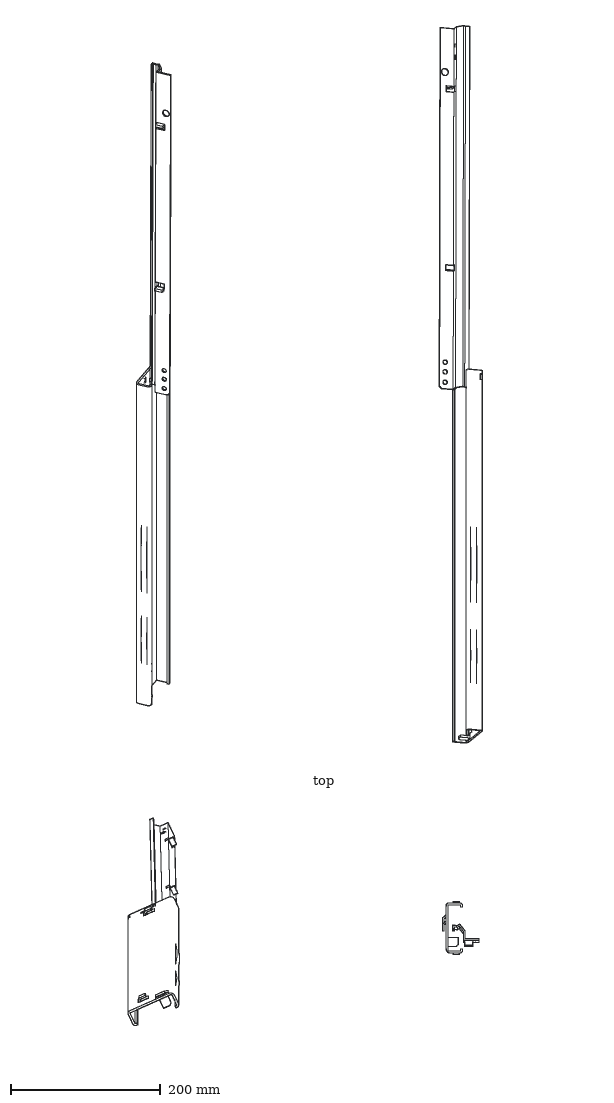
import cadquery as cq
import math

TOTAL_HEIGHT = 985.01

HOUSING_LENGTH = 500.0
PLATE_THICKNESS = 3.0
FLANGE_HALF_SPAN = 33.7
CHANNEL_DEPTH = 22.3
LIP_HALF_GAP = 28.0
LEFT_BEND_RADIUS = 4.0
RIGHT_BEND_RADIUS = 6.0
LIP_BEND_RADIUS = 4.0

PAD_HEIGHT = 1.7
PAD_X_START = 9.5
PAD_X_END = 18.0
LONG_PAD_BOTTOM = 176.5
LONG_PAD_LENGTH = 104.0
LONG_PAD_FLAT_BOTTOM = 211.5
LONG_PAD_FLAT_TOP = 247.5
SHORT_PAD_BOTTOM = 64.5
SHORT_PAD_LENGTH = 74.0
SHORT_PAD_FLAT_BOTTOM = 100.5
SHORT_PAD_FLAT_TOP = 104.5

HOOK_REACH = 5.0
HOOK_THICKNESS = 2.5
HOOK_RAMP_WIDTH = 4.5
HOOK_WINDOW_OVERRUN = 2.5
UPPER_HOOK_Y = 2.5
UPPER_HOOK_WIDTH = 13.0
UPPER_HOOK_Z = 467.5
UPPER_HOOK_HEIGHT = 12.5
LOWER_HOOK_Y = 11.0
LOWER_HOOK_WIDTH = 12.5
LOWER_HOOK_Z = 29.0
LOWER_HOOK_HEIGHT = 11.0

ROUND_HOLE_DIAMETER = 6.0
ROUND_HOLE_Y = 10.5
ROUND_HOLE_Z = 482.0
SMALL_SLOT_WIDTH = 4.0
SMALL_SLOT_HEIGHT = 7.0
SMALL_SLOT_Y = -6.0
SMALL_SLOT_Z = 491.0
BEND_NOTCH_BOTTOM = 487.0
BEND_NOTCH_HEIGHT = 8.0
WINDOW_LEFT = -8.0
WINDOW_RIGHT = -27.0
WINDOW_BOTTOM = 8.5
WINDOW_TOP = 22.5
WINDOW_CORNER_CUT = 6.0

STOP_TAB_REACH = 16.5
STOP_TAB_LEFT = -12.5
STOP_TAB_RIGHT = -25.0
STOP_TAB_CORNER_CUT = 3.0
STOP_TAB_BEND_RADIUS = 4.0

RAIL_LENGTH = 500.0
RAIL_TILT = 0.4
RAIL_THICKNESS = 2.2
RAIL_LEFT_X = 9.0
RAIL_RIGHT_X = 44.43

HEM_END_Y = -0.7
HEM_TOP_Y = 3.0
GROOVE_X = 15.0
GROOVE_Y = 2.0
RIDGE_X = 18.0
RIDGE_Y = 4.0
WEB_X = 24.3
WEB_TOP_Y = -4.0
TAB_Y = -15.0
TAB_CORNER_CUT = 3.0

SMALL_HOLE_X = 36.5
LARGE_HOLE_DIAMETER = 9.5
LARGE_HOLE_X = 37.7
LARGE_HOLE_DROP = 61.0
SMALL_HOLE_DIAMETER = 6.0
SMALL_HOLE_DROPS = (463.0, 476.5, 491.0)

WEB_HOLES = ((24.0, -10.5, 4.0), (41.0, -9.0, 6.0))

TAB_HOOK_X_START = 25.0
TAB_HOOK_X_END = 36.0
TAB_HOOK_REACH = 6.0
TAB_HOOK_HEIGHT = 3.5
TAB_HOOK_WINDOW_HEIGHT = 8.0
TAB_HOOK_WINDOW_RISE = 4.0
TAB_HOOK_UPPER_DROP = 80.0
TAB_HOOK_LOWER_DROP = 336.0


def box(x_range, y_range, z_range):
    """Box between the given limits."""
    low = [min(r) for r in (x_range, y_range, z_range)]
    size = [abs(r[1] - r[0]) for r in (x_range, y_range, z_range)]
    return cq.Workplane("XY").box(*size, centered=False).translate(tuple(low))


def sheet_side(points, offset):
    """Points of an open line moved sideways by the offset, with mitred corners."""
    directions = []
    for (x0, y0), (x1, y1) in zip(points, points[1:]):
        length = math.hypot(x1 - x0, y1 - y0)
        directions.append(((x1 - x0) / length, (y1 - y0) / length))
    before = directions[:1] + directions
    after = directions + directions[-1:]
    side = []
    for (x, y), (ax, ay), (bx, by) in zip(points, before, after):
        mitre = offset / (1 + ax * bx + ay * by)
        side.append((x - (ay + by) * mitre, y + (ax + bx) * mitre))
    return side


def folded_sheet(points, offset_a, offset_b, length):
    """Sheet folded along an open line in XY and extruded along Z."""
    outline = sheet_side(points, offset_a) + sheet_side(points, offset_b)[::-1]
    return cq.Workplane("XY").polyline(outline).close().extrude(length)


def channel():
    """C-section with rounded bends, sharp on the inside."""
    outside = [
        (CHANNEL_DEPTH, -LIP_HALF_GAP),
        (CHANNEL_DEPTH, -FLANGE_HALF_SPAN),
        (0, -FLANGE_HALF_SPAN),
        (0, FLANGE_HALF_SPAN),
        (CHANNEL_DEPTH, FLANGE_HALF_SPAN),
        (CHANNEL_DEPTH, LIP_HALF_GAP),
    ]
    body = folded_sheet(outside, 0, -PLATE_THICKNESS, HOUSING_LENGTH)
    for corner, radius in (
        ("<X and <Y", RIGHT_BEND_RADIUS),
        ("<X and >Y", LEFT_BEND_RADIUS),
        (">X and <Y", LIP_BEND_RADIUS),
        (">X and >Y", LIP_BEND_RADIUS),
    ):
        body = body.edges("|Z and " + corner).fillet(radius)
    return body


def flange_pad(side, bottom, length, flat_bottom, flat_top):
    """Pad raised from a flange, with a ramp at each end; side is +1 or -1 in Y."""
    base = side * FLANGE_HALF_SPAN
    crest = side * (FLANGE_HALF_SPAN + PAD_HEIGHT)
    outline = [(base, bottom), (crest, flat_bottom), (crest, flat_top), (base, bottom + length)]
    pad = cq.Workplane("YZ").polyline(outline).close().extrude(PAD_X_END - PAD_X_START)
    return pad.translate((PAD_X_START, 0, 0))


def plate_hook(y, width, z, height):
    """Bent strip with its ramp at the +Y end; y and z are its centre."""
    left = y + width / 2
    arm_x = HOOK_THICKNESS / 2 - HOOK_REACH
    line = [
        (PLATE_THICKNESS / 2, left),
        (arm_x, left - HOOK_RAMP_WIDTH),
        (arm_x, y - width / 2),
    ]
    strip = folded_sheet(line, HOOK_THICKNESS / 2, -HOOK_THICKNESS / 2, height)
    return strip.translate((0, 0, z - height / 2))


def hook_window(y, width, z, height):
    """Opening in the plate that the hook was lanced from."""
    left = y + width / 2 - HOOK_RAMP_WIDTH / 2
    right = y - width / 2 - HOOK_WINDOW_OVERRUN
    return box((0, PLATE_THICKNESS), (right, left), (z - height / 2, z + height / 2))


def plate_window():
    """Opening near the bottom of the plate, with one corner cut off."""
    outline = [
        (WINDOW_LEFT, WINDOW_BOTTOM),
        (WINDOW_RIGHT, WINDOW_BOTTOM),
        (WINDOW_RIGHT, WINDOW_TOP - WINDOW_CORNER_CUT),
        (WINDOW_RIGHT + WINDOW_CORNER_CUT, WINDOW_TOP),
        (WINDOW_LEFT, WINDOW_TOP),
    ]
    return cq.Workplane("YZ").polyline(outline).close().extrude(PLATE_THICKNESS)


def stop_tab():
    """Tab along X, bent up into the plate below the window, with one corner cut off."""
    bend_end_x = PLATE_THICKNESS + STOP_TAB_BEND_RADIUS
    top = WINDOW_BOTTOM - STOP_TAB_BEND_RADIUS
    low = top - PLATE_THICKNESS
    profile = (
        cq.Workplane("XZ")
        .moveTo(0, low)
        .lineTo(STOP_TAB_REACH, low)
        .lineTo(STOP_TAB_REACH, top)
        .lineTo(bend_end_x, top)
        .radiusArc((PLATE_THICKNESS, WINDOW_BOTTOM), STOP_TAB_BEND_RADIUS)
        .lineTo(0, WINDOW_BOTTOM)
        .close()
    )
    tab = profile.extrude(STOP_TAB_LEFT - STOP_TAB_RIGHT).translate((0, STOP_TAB_LEFT, 0))
    return tab.edges("|Z and >X and <Y").chamfer(STOP_TAB_CORNER_CUT)


def plate_openings():
    round_hole = (
        cq.Workplane("YZ")
        .center(ROUND_HOLE_Y, ROUND_HOLE_Z)
        .circle(ROUND_HOLE_DIAMETER / 2)
        .extrude(PLATE_THICKNESS)
    )
    small_slot = (
        cq.Workplane("YZ")
        .center(SMALL_SLOT_Y, SMALL_SLOT_Z)
        .rect(SMALL_SLOT_WIDTH, SMALL_SLOT_HEIGHT)
        .extrude(PLATE_THICKNESS)
    )
    bend_notch = box(
        (0, LEFT_BEND_RADIUS),
        (FLANGE_HALF_SPAN - LEFT_BEND_RADIUS, FLANGE_HALF_SPAN),
        (BEND_NOTCH_BOTTOM, BEND_NOTCH_BOTTOM + BEND_NOTCH_HEIGHT),
    )
    return round_hole.union(small_slot).union(bend_notch).union(plate_window())


def make_housing():
    body = channel().cut(plate_openings())
    long_pad = (LONG_PAD_BOTTOM, LONG_PAD_LENGTH, LONG_PAD_FLAT_BOTTOM, LONG_PAD_FLAT_TOP)
    short_pad = (SHORT_PAD_BOTTOM, SHORT_PAD_LENGTH, SHORT_PAD_FLAT_BOTTOM, SHORT_PAD_FLAT_TOP)
    for side in (1, -1):
        for pad in (long_pad, short_pad):
            body = body.union(flange_pad(side, *pad))
    upper_hook = (UPPER_HOOK_Y, UPPER_HOOK_WIDTH, UPPER_HOOK_Z, UPPER_HOOK_HEIGHT)
    lower_hook = (LOWER_HOOK_Y, LOWER_HOOK_WIDTH, LOWER_HOOK_Z, LOWER_HOOK_HEIGHT)
    for hook in (upper_hook, lower_hook):
        body = body.cut(hook_window(*hook)).union(plate_hook(*hook))
    return body.union(stop_tab())


def rail_section():
    """Folded sheet of the rail, upright."""
    half = RAIL_THICKNESS / 2
    hem_x = RAIL_LEFT_X + half
    folds = [
        (hem_x, HEM_END_Y),
        (hem_x, HEM_TOP_Y),
        (GROOVE_X, GROOVE_Y),
        (RIDGE_X, RIDGE_Y),
        (WEB_X, WEB_TOP_Y),
        (WEB_X, TAB_Y),
        (RAIL_RIGHT_X, TAB_Y),
    ]
    return folded_sheet(folds, half, -half, RAIL_LENGTH)


def tab_hole(x, drop, diameter):
    """Round hole through the tab."""
    hole = cq.Workplane("XZ").circle(diameter / 2).extrude(RAIL_THICKNESS, both=True)
    return hole.translate((x, TAB_Y, RAIL_LENGTH - drop))


def web_hole(drop, y, diameter):
    """Round hole through the web."""
    hole = cq.Workplane("YZ").circle(diameter / 2).extrude(RAIL_THICKNESS, both=True)
    return hole.translate((WEB_X, y, RAIL_LENGTH - drop))


def tab_hook(drop):
    """Hook standing off the front of the tab; drop is its middle."""
    middle = RAIL_LENGTH - drop
    z_range = (middle - TAB_HOOK_HEIGHT / 2, middle + TAB_HOOK_HEIGHT / 2)
    front = TAB_Y - RAIL_THICKNESS / 2 - TAB_HOOK_REACH
    return box((TAB_HOOK_X_START, TAB_HOOK_X_END), (front, TAB_Y), z_range)


def tab_hook_window(drop, direction):
    """Opening the hook was pressed from; above (+1) or below (-1) the hook, cut into the web."""
    start = RAIL_LENGTH - drop
    z_range = (start, start + direction * TAB_HOOK_WINDOW_HEIGHT)
    y_range = (TAB_Y - RAIL_THICKNESS, TAB_Y + TAB_HOOK_WINDOW_RISE)
    return box((WEB_X - RAIL_THICKNESS, TAB_HOOK_X_END), y_range, z_range)


def make_rail():
    body = rail_section()
    body = body.edges("|Y and >X and <Z").chamfer(TAB_CORNER_CUT)
    for drop, y, diameter in WEB_HOLES:
        body = body.cut(web_hole(drop, y, diameter))
    body = body.cut(tab_hole(LARGE_HOLE_X, LARGE_HOLE_DROP, LARGE_HOLE_DIAMETER))
    for drop in SMALL_HOLE_DROPS:
        body = body.cut(tab_hole(SMALL_HOLE_X, drop, SMALL_HOLE_DIAMETER))
    for drop, direction in ((TAB_HOOK_UPPER_DROP, -1), (TAB_HOOK_LOWER_DROP, 1)):
        body = body.cut(tab_hook_window(drop, direction)).union(tab_hook(drop))
    tilt = math.radians(RAIL_TILT)
    front_y = TAB_Y - RAIL_THICKNESS / 2
    top_z = RAIL_LENGTH * math.cos(tilt) - front_y * math.sin(tilt)
    tilted = body.rotate((0, 0, 0), (1, 0, 0), -RAIL_TILT)
    return tilted.translate((0, -RAIL_LENGTH * math.sin(tilt), TOTAL_HEIGHT - top_z))


housing = make_housing()
rail = make_rail()

result = cq.Compound.makeCompound([*housing.solids().vals(), *rail.solids().vals()])